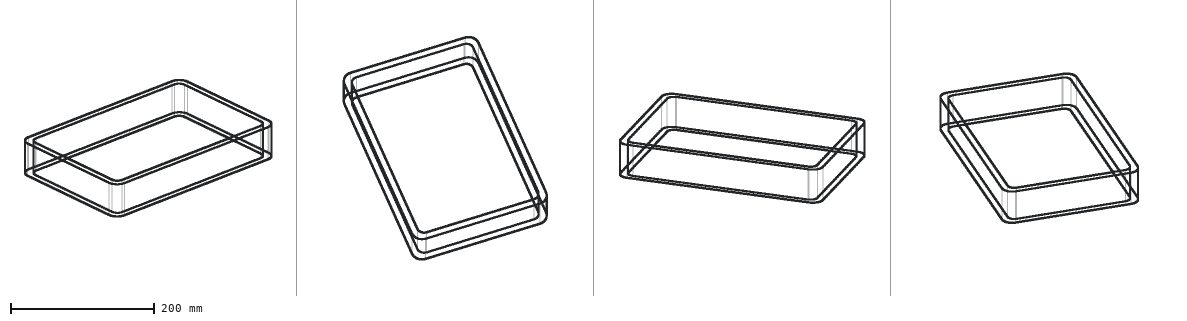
import cadquery as cq

length = 300.0
width = length * 2 / 3
height = length / 6
wall = length / 30
outer_radius = 15.0
inner_radius = 10.0


def rounded_block(size_x, size_y, corner_radius):
    """Block of the frame's height with rounded vertical edges."""
    block = cq.Workplane("XY").box(size_x, size_y, height)
    return block.edges("|Z").fillet(corner_radius)


outer_block = rounded_block(width, length, outer_radius)
opening = rounded_block(width - 2 * wall, length - 2 * wall, inner_radius)

result = outer_block.cut(opening)